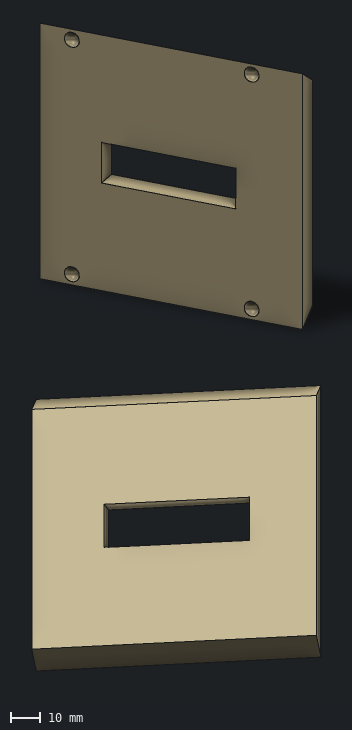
import cadquery as cq
import math

width = 98.0
thickness = 8.0
height = 95.0
bevel_angle = 35.0
bevel_inset = thickness * math.tan(math.radians(bevel_angle))

window_width = 50.0
window_height = 15.0
window_center_x = -1.0

dimple_radius = 2.7
dimple_spacing_x = 67.0
dimple_center_x = -3.5
dimple_edge_distance = 4.0
dimple_spacing_z = height - 2 * dimple_edge_distance

front_y = -thickness / 2
back_y = thickness / 2


def bevelled_plate():
    front_half = height / 2
    back_half = front_half - bevel_inset
    profile = [
        (front_y, -front_half),
        (back_y, -back_half),
        (back_y, back_half),
        (front_y, front_half),
    ]
    return cq.Workplane("YZ").polyline(profile).close().extrude(width / 2, both=True)


def window():
    return cq.Workplane("XY").box(window_width, thickness, window_height).translate((window_center_x, 0, 0))


def dimples():
    return (
        cq.Workplane("XZ", origin=(dimple_center_x, front_y, 0))
        .rarray(dimple_spacing_x, dimple_spacing_z, 2, 2)
        .sphere(dimple_radius)
    )


result = bevelled_plate().cut(window()).cut(dimples())